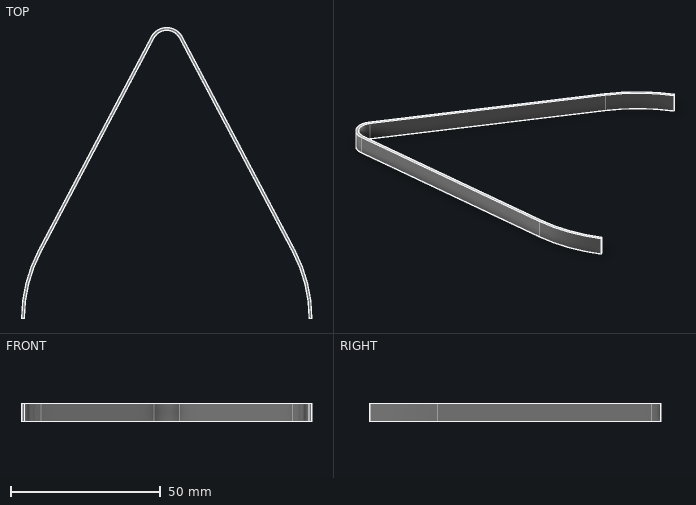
import cadquery as cq
import math

width = 97.0
length = 97.2
height = 6.0
thickness = 1.0
apex_radius = 5.8
tip_radius = 48.6

apex_center_y = length - apex_radius
tip_center_x = width / 2 - tip_radius

center_distance = math.hypot(tip_center_x, apex_center_y)
arm_angle = (
    math.asin((tip_radius - apex_radius) / center_distance)
    + math.atan2(tip_center_x, apex_center_y)
)


def outline_solid(inset):
    """Region enclosed by the strip's outer line moved inward by inset."""

    def tip_point(angle):
        radius = tip_radius - inset
        return (tip_center_x + radius * math.cos(angle), radius * math.sin(angle))

    def apex_point(angle):
        radius = apex_radius - inset
        return (radius * math.cos(angle), apex_center_y + radius * math.sin(angle))

    def mirrored(point):
        return (-point[0], point[1])

    tip_end = tip_point(0)
    tip_middle = tip_point(arm_angle / 2)
    arm_start = tip_point(arm_angle)
    arm_end = apex_point(arm_angle)
    return (
        cq.Workplane("XY")
        .moveTo(*tip_end)
        .threePointArc(tip_middle, arm_start)
        .lineTo(*arm_end)
        .threePointArc(apex_point(math.pi / 2), mirrored(arm_end))
        .lineTo(*mirrored(arm_start))
        .threePointArc(mirrored(tip_middle), mirrored(tip_end))
        .close()
        .extrude(height)
    )


result = outline_solid(0).cut(outline_solid(thickness))